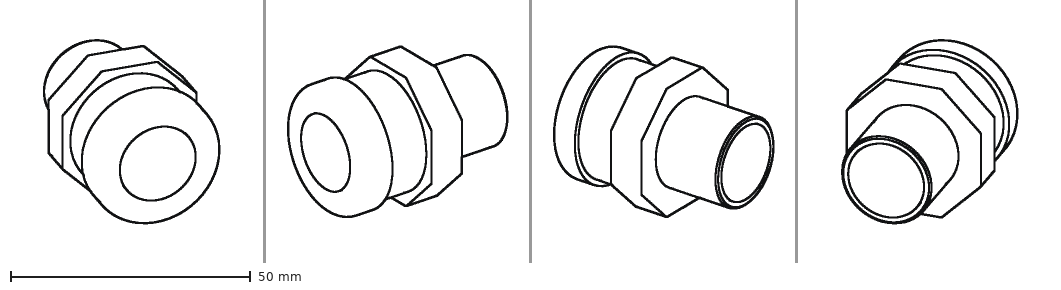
import cadquery as cq
import math

total_length = 40.25
flange_start = 15.98
flange_end = 23.95
rim_start = 33.73

bore_diameter = 17.0
spigot_diameter = 20.0
body_diameter = 26.5
rim_diameter = 29.0
across_flats = 30.0

spigot_chamfer = 0.4
rim_fillet = 2.17
flange_corner_radius = 0.55


def cylinder_along_x(diameter, start, end):
    return cq.Workplane("YZ", origin=(start, 0, 0)).circle(diameter / 2).extrude(end - start)


def octagonal_flange():
    """Wrench flange with flats square to Y and Z and softened corners."""
    sides = 8
    half_corner_angle = 180 / sides
    across_corners = across_flats / math.cos(math.radians(half_corner_angle))
    return (
        cq.Workplane("YZ", origin=(flange_start, 0, 0))
        .transformed(rotate=(0, 0, half_corner_angle))
        .polygon(sides, across_corners)
        .extrude(flange_end - flange_start)
        .edges("|X")
        .fillet(flange_corner_radius)
    )


spigot = cylinder_along_x(spigot_diameter, 0, flange_start).faces("<X").edges().chamfer(spigot_chamfer)
body = cylinder_along_x(body_diameter, flange_end, rim_start)
rim = cylinder_along_x(rim_diameter, rim_start, total_length).faces(">X").edges().fillet(rim_fillet)
bore = cylinder_along_x(bore_diameter, 0, total_length)

result = spigot.union(octagonal_flange()).union(body).union(rim).cut(bore)